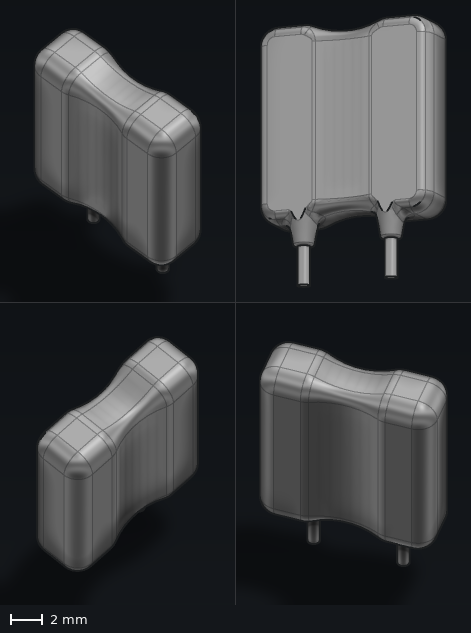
import cadquery as cq
import math

width = 11.68
height = 12.7
full_depth = 4.318
back_trim = 0.254
round_radius = 1.27
waist_depth = 0.58
waist_half_width = 2.8

lead_pitch = 5.94
lead_diameter = 0.81
lead_length = 2.5
lead_to_back = 0.93
boot_drop = 1.5
boot_tip_radius = 0.66
boot_taper = math.radians(10)
boot_tip_round = 0.2
blend_radius = 0.635

core_depth = full_depth - 2 * round_radius
core_height = height - 2 * round_radius
back_y = full_depth / 2 - back_trim
lead_y = back_y - lead_to_back
lead_positions = [(side * lead_pitch / 2, lead_y) for side in (-1, 1)]

waist_angle = 2 * math.atan(waist_depth / waist_half_width)
hollow_radius = waist_half_width / math.sin(waist_angle) - round_radius


def waist_profile(origin):
    """Half section along X: rounded ends, flat pads and a hollow waist, closed along the X axis."""
    end_x = width / 2
    pad_x = end_x - round_radius
    diagonal = round_radius * math.sin(math.pi / 4)
    hollow_x = hollow_radius * math.sin(waist_angle)
    hollow_r = round_radius * math.cos(waist_angle)
    shoulder_x = waist_half_width - round_radius * math.sin(waist_angle / 2)
    shoulder_r = round_radius * math.cos(waist_angle / 2)
    return (
        cq.Workplane("XZ", origin=origin)
        .moveTo(-end_x, 0)
        .threePointArc((-pad_x - diagonal, diagonal), (-pad_x, round_radius))
        .lineTo(-waist_half_width, round_radius)
        .threePointArc((-shoulder_x, shoulder_r), (-hollow_x, hollow_r))
        .threePointArc((0, round_radius - waist_depth), (hollow_x, hollow_r))
        .threePointArc((shoulder_x, shoulder_r), (waist_half_width, round_radius))
        .lineTo(pad_x, round_radius)
        .threePointArc((pad_x + diagonal, diagonal), (end_x, 0))
        .close()
    )


def make_rounded_box():
    """Core block with the waist profile drawn along its four long faces and turned about its X edges."""
    box = cq.Workplane("XY").box(width, core_depth, core_height)
    half_depth = core_depth / 2
    half_height = core_height / 2
    sides = (
        (half_height, half_depth, 0),
        (half_depth, half_height, 90),
        (half_height, half_depth, 180),
        (half_depth, half_height, 270),
    )
    for offset, half_length, angle in sides:
        start = (0, -half_length, offset)
        wall = waist_profile(start).extrude(-2 * half_length)
        corner = waist_profile(start).revolve(90, (0, 0, 0), (1, 0, 0))
        box = box.union(wall.union(corner).rotate((0, 0, 0), (1, 0, 0), angle))
    return box.translate((0, 0, height / 2))


def make_boot():
    """Cone that starts inside the housing and narrows to a rounded tip."""
    cone_height = boot_drop + round_radius
    root_radius = boot_tip_radius + cone_height * math.tan(boot_taper)
    return (
        cq.Workplane("XZ")
        .moveTo(0, -boot_drop)
        .lineTo(boot_tip_radius, -boot_drop)
        .lineTo(root_radius, round_radius)
        .lineTo(0, round_radius)
        .close()
        .revolve(360, (0, 0, 0), (0, 1, 0))
        .faces("<Z")
        .edges()
        .fillet(boot_tip_round)
    )


def trim_back(body):
    """Cut the body flat at the back plane."""
    block = cq.Workplane("XY").box(2 * width, full_depth, 4 * height)
    return body.cut(block.translate((0, back_y + full_depth / 2, 0)))


def make_housing():
    """Rounded box with a flat back and softened back edge, carrying one blended boot per lead."""
    housing = trim_back(make_rounded_box())
    housing = housing.faces(">Y").edges().fillet(blend_radius)
    boot = make_boot()
    for x, y in lead_positions:
        housing = housing.union(boot.translate((x, y, 0)))
    root_zone = cq.selectors.BoxSelector(
        (-width, -full_depth, -boot_drop / 2), (width, full_depth, round_radius)
    )
    roots = housing.faces("%CONE").edges("not %LINE").edges(root_zone)
    return trim_back(roots.fillet(blend_radius))


def make_leads():
    """Round wires that start at the boot tips and run straight down."""
    return (
        cq.Workplane("XY", origin=(0, 0, -boot_drop))
        .pushPoints(lead_positions)
        .circle(lead_diameter / 2)
        .extrude(-lead_length, combine=False)
    )


housing = make_housing()
leads = make_leads()
result = cq.Compound.makeCompound([*housing.solids().vals(), *leads.solids().vals()])